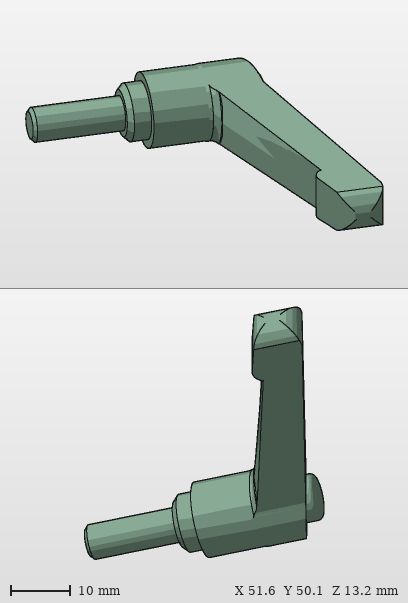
import cadquery as cq
import math


hub_radius = 6.6
sleeve_radius = 6.5
sleeve_top = 9.7
hub_base = 10.25
core_top = 11.6
collar_radius = 5.0
collar_length = 3.95
collar_chamfer = 1.0
stud_radius = 3.0
stud_end = -19.9
stud_chamfer = 0.6
cap_radius = 4.0
cap_top = 20.55
cap_fillet = 1.0

overall_length = 51.6
overall_height = 50.05
top_angle = 16.0
tip_corner_radius = 3.35
tip_x = overall_length - hub_radius
arm_peak = overall_height + stud_end
tip_bottom_x = 42.65
tip_bottom_y = 22.15
tip_bottom_slope = math.tan(math.radians(20))
bump_start = (34.7, 21.35)
bump_low = (36.1, 20.15)
bump_end_x = 37.6
head_base_end_x = 3.85
arm_root_x = 5.05
arm_root_y = 11.2

root_half_width = 5.0
tip_half_width = 3.65
tip_arc_x = 42.4
root_fillet = 2.05

crown_depth = 0.65
flare_radius = 7.8
flare_top = 11.45
flare_bend = (6.9, 10.9)
flare_overlap = 0.5


def half_width(x):
    """Half the arm's Z width, narrowing steadily towards the tip."""
    fraction = (x - arm_root_x) / (tip_arc_x - arm_root_x)
    return root_half_width + fraction * (tip_half_width - root_half_width)


def tip_bottom(x):
    """Height of the sloping lower edge beside the tip."""
    return tip_bottom_y + (x - tip_bottom_x) * tip_bottom_slope


def turned(profile):
    return profile.close().revolve(360, (0, 0, 0), (0, 1, 0))


def make_spindle():
    lower = turned(
        cq.Workplane("XY")
        .moveTo(0, stud_end)
        .lineTo(stud_radius - stud_chamfer, stud_end)
        .lineTo(stud_radius, stud_end + stud_chamfer)
        .lineTo(stud_radius, -collar_length)
        .lineTo(collar_radius - collar_chamfer, -collar_length)
        .lineTo(collar_radius, -collar_length + collar_chamfer)
        .lineTo(collar_radius, 0)
        .lineTo(sleeve_radius, 0)
        .lineTo(sleeve_radius, sleeve_top)
        .lineTo(hub_radius, hub_base)
        .lineTo(hub_radius, core_top)
        .lineTo(0, core_top)
    )
    cap = turned(
        cq.Workplane("XY")
        .moveTo(0, 0)
        .lineTo(cap_radius, 0)
        .lineTo(cap_radius, cap_top)
        .lineTo(0, cap_top)
    ).faces(">Y").edges().fillet(cap_fillet)
    return lower.union(cap)


def make_plan_prism():
    """Hub circle and tapered round-ended arm, drawn in plan and extruded along Y."""
    plane = cq.Plane((0, 0, 0), xDir=(1, 0, 0), normal=(0, 1, 0))
    hub = cq.Workplane(plane).circle(hub_radius).extrude(arm_peak)
    arm = (
        cq.Workplane(plane)
        .moveTo(0, -half_width(0))
        .lineTo(tip_arc_x, -tip_half_width)
        .threePointArc((tip_x, 0), (tip_arc_x, tip_half_width))
        .lineTo(0, half_width(0))
        .close()
        .extrude(arm_peak)
    )
    joint = cq.selectors.BoxSelector((0, 0, -hub_radius), (hub_radius, arm_peak, hub_radius))
    return hub.union(arm).edges("|Y").edges(joint).fillet(root_fillet)


def make_side_profile():
    """Side outline of the hub head and arm, extruded through the full width."""
    slope = math.radians(top_angle)
    corner_x = tip_x - tip_corner_radius
    corner_y = arm_peak - tip_corner_radius
    tip_top = corner_y + tip_corner_radius * (1 / math.cos(slope) + math.tan(slope))
    head_edge = tip_top - (tip_x + hub_radius) * math.tan(slope)
    profile = (
        cq.Workplane("XY")
        .moveTo(-hub_radius, hub_base)
        .lineTo(head_base_end_x, hub_base)
        .lineTo(arm_root_x, arm_root_y)
        .lineTo(*bump_start)
        .threePointArc(bump_low, (bump_end_x, tip_bottom(bump_end_x)))
        .lineTo(tip_x, tip_bottom(tip_x))
        .lineTo(tip_x, tip_top)
        .lineTo(-hub_radius, head_edge)
        .close()
        .extrude(hub_radius, both=True)
    )
    tip_corners = cq.selectors.BoxSelector((corner_x, 0, -0.5), (tip_x + 0.5, tip_top + 0.5, 0.5))
    return profile.edges("|Z").edges(tip_corners).fillet(tip_corner_radius)


def make_crown():
    """Ridge under the arm that fades out at the bump."""
    end_x, end_y = bump_start
    root_w = half_width(arm_root_x)
    end_w = half_width(end_x)
    root_left = cq.Vector(arm_root_x, arm_root_y, -root_w)
    root_right = cq.Vector(arm_root_x, arm_root_y, root_w)
    ridge = cq.Vector(arm_root_x, arm_root_y - crown_depth, 0)
    end_left = cq.Vector(end_x, end_y, -end_w)
    end_right = cq.Vector(end_x, end_y, end_w)
    end_middle = cq.Vector(end_x, end_y, 0)

    def flat_face(*points):
        return cq.Face.makeFromWires(cq.Wire.makePolygon(points, close=True))

    def ruled_face(side_start, side_end):
        side = cq.Edge.makeLine(side_start, side_end)
        return cq.Face.makeRuledSurface(side, cq.Edge.makeLine(ridge, end_middle))

    faces = [
        flat_face(root_left, root_right, ridge),
        flat_face(root_left, root_right, end_right, end_middle, end_left),
        ruled_face(root_left, end_left),
        ruled_face(root_right, end_right),
    ]
    return cq.Workplane(cq.Solid.makeSolid(cq.Shell.makeShell(faces)).fix())


def make_flare(plan):
    """Concave ring that blends the sleeve into the underside of the arm."""
    ring = turned(
        cq.Workplane("XY")
        .moveTo(0, sleeve_top)
        .lineTo(sleeve_radius, sleeve_top)
        .threePointArc(flare_bend, (flare_radius, flare_top))
        .lineTo(flare_radius, flare_top + flare_overlap)
        .lineTo(0, flare_top + flare_overlap)
    )
    return ring.intersect(plan)


plan_prism = make_plan_prism()
head_and_arm = plan_prism.intersect(make_side_profile())
result = head_and_arm.union(make_spindle()).union(make_flare(plan_prism)).union(make_crown())